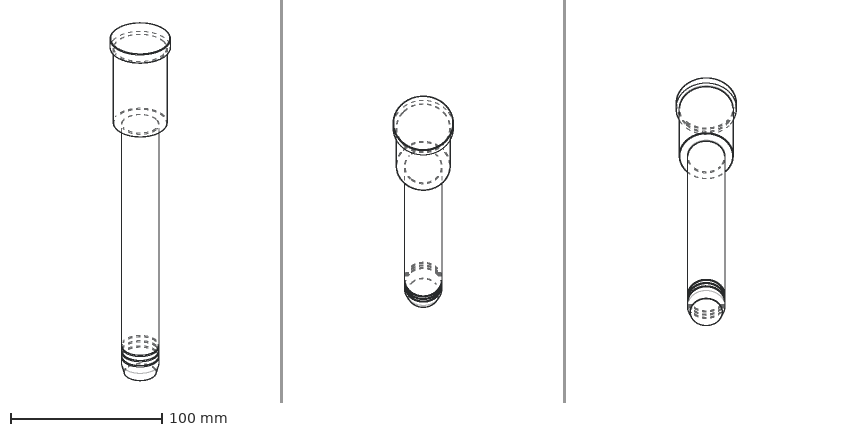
import cadquery as cq
import math

total_length = 260.0
head_diameter = 40.0
head_height = 7.0
head_bottom = total_length - head_height
sleeve_diameter = 36.0
sleeve_bottom = 194.0
shaft_diameter = 25.0

head_chamfer = 0.5
sleeve_chamfer = 0.5
tip_chamfer = 0.3

tip_height = 7.0
tip_angle = 14.0

groove_radius = 0.5
ring_count = 3
ring_span = 8.0
lowest_ring_height = 12.5


def pin_blank():
    """Head, sleeve, shaft and conical tip turned from one half profile."""
    head_radius = head_diameter / 2
    sleeve_radius = sleeve_diameter / 2
    shaft_radius = shaft_diameter / 2
    tip_radius = shaft_radius - tip_height * math.tan(math.radians(tip_angle))
    profile = [
        (0, 0),
        (tip_radius - tip_chamfer, 0),
        (tip_radius, tip_chamfer),
        (shaft_radius, tip_height),
        (shaft_radius, sleeve_bottom),
        (sleeve_radius - sleeve_chamfer, sleeve_bottom),
        (sleeve_radius, sleeve_bottom + sleeve_chamfer),
        (sleeve_radius, head_bottom),
        (head_radius, head_bottom),
        (head_radius, total_length - head_chamfer),
        (head_radius - head_chamfer, total_length),
        (0, total_length),
    ]
    return cq.Workplane("XZ").polyline(profile).close().revolve(360, (0, 0), (0, 1))


def round_groove(diameter, height):
    """Ring of circular section, centred on a cylinder of the given diameter."""
    radius = diameter / 2
    section = cq.Workplane("XZ").center(radius, height).circle(groove_radius)
    return section.revolve(360, (-radius, 0), (-radius, 1))


result = pin_blank()

ring_pitch = ring_span / (ring_count - 1)
for index in range(ring_count):
    result = result.cut(round_groove(shaft_diameter, lowest_ring_height + index * ring_pitch))

result = result.cut(round_groove(shaft_diameter, sleeve_bottom - groove_radius))
result = result.cut(round_groove(sleeve_diameter, head_bottom - groove_radius))